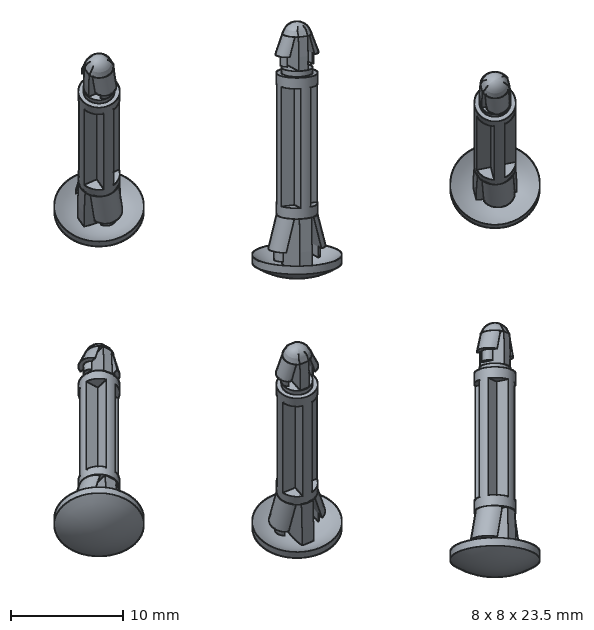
import cadquery as cq
import math

overall_height = 23.45
foot_sag = 1.25
foot_rim_height = 0.75
foot_top = foot_sag + foot_rim_height
lower_barb_bottom = 2.7
spacer_bottom = 5.75
spacer_length = 13.0
spacer_top = spacer_bottom + spacer_length
collar_height = 0.5
collar_top = spacer_top + collar_height
tab_length = 1.0
upper_barb_bottom = 20.55
head_bottom = 22.37
dome_bottom = 22.87

foot_radius = 4.0
foot_center_top = 0.5

spacer_radius = 3.7 / 2
end_ring_height = 1.0
cross_width = 1.0
collar_radius = 2.8 / 2

lower_blade_thickness = 1.2
lower_blade_bottom_half = spacer_radius
lower_blade_top_half = 1.74
upper_blade_thickness = 0.92
upper_blade_bottom_half = 1.32
upper_blade_top_half = 1.245

head_radius = 1.32
dome_base_radius = 1.07
narrow_dome_half = 0.98

lower_barb_low = (1.74, 2.67, 1.42)
lower_barb_high = (0.94, spacer_radius, 1.42)
lower_tab = (1.74, 2.19, 0.76)
upper_barb_low = (1.23, 2.03, 1.07)
upper_barb_high = (0.72, 1.3, 1.07)
upper_tab = (1.23, 1.59, 0.57)


def arc_middle(half_width, height):
    """Point halfway along an arc from (half_width, 0) to the crown (0, height)."""
    radius = (half_width**2 + height**2) / (2 * height)
    half_angle = math.asin(half_width / radius) / 2
    return (radius * math.sin(half_angle), height - radius * (1 - math.cos(half_angle)))


def make_foot():
    """Disc with a domed underside and a deeper hollow on top, joined by a straight rim."""
    under_x, under_y = arc_middle(foot_radius, foot_sag)
    dish_depth = foot_top - foot_center_top
    dish_x, dish_y = arc_middle(foot_radius, dish_depth)
    profile = (
        cq.Workplane("XZ")
        .moveTo(0, 0)
        .threePointArc((under_x, foot_sag - under_y), (foot_radius, foot_sag))
        .lineTo(foot_radius, foot_top)
        .threePointArc((dish_x, foot_top - dish_y), (0, foot_center_top))
        .close()
    )
    return profile.revolve(360, (0, 0, 0), (0, 1, 0))


def make_spacer():
    """Bar with a solid ring at each end, a cross between them and a collar on top."""
    bar = cq.Workplane("XY").workplane(offset=spacer_bottom).circle(spacer_radius).extrude(spacer_length)
    window_size = spacer_radius
    window_pitch = cross_width + window_size
    windows = (
        cq.Workplane("XY")
        .workplane(offset=spacer_bottom + end_ring_height)
        .rect(window_pitch, window_pitch, forConstruction=True)
        .vertices()
        .rect(window_size, window_size)
        .extrude(spacer_length - 2 * end_ring_height)
    )
    collar = (
        cq.Workplane("XY")
        .workplane(offset=spacer_top)
        .circle(collar_radius)
        .extrude(collar_height)
    )
    return bar.cut(windows).union(collar)


def make_blade(thickness, bottom, kink, top, bottom_half, top_half):
    """Web with straight edges up to the kink and edges drawing inwards above it."""
    outline = [
        (-bottom_half, bottom),
        (bottom_half, bottom),
        (bottom_half, kink),
        (top_half, top),
        (-top_half, top),
        (-bottom_half, kink),
    ]
    return cq.Workplane("YZ").polyline(outline).close().extrude(thickness / 2, both=True)


def make_head():
    """Round nose trimmed by a slimmer nose profile that runs along X."""
    dome_height = overall_height - dome_bottom
    round_x, round_y = arc_middle(dome_base_radius, dome_height)
    round_head = (
        cq.Workplane("XZ")
        .moveTo(0, head_bottom)
        .lineTo(head_radius, head_bottom)
        .lineTo(dome_base_radius, dome_bottom)
        .threePointArc((round_x, dome_bottom + round_y), (0, overall_height))
        .close()
        .revolve(360, (0, 0, 0), (0, 1, 0))
    )
    narrow_profile = (
        cq.Workplane("YZ")
        .moveTo(-upper_blade_top_half, head_bottom)
        .lineTo(upper_blade_top_half, head_bottom)
        .lineTo(narrow_dome_half, dome_bottom)
        .threePointArc((0, overall_height), (-narrow_dome_half, dome_bottom))
        .close()
        .extrude(head_radius, both=True)
    )
    return round_head.intersect(narrow_profile)


def draw_segment(plane, section):
    """Circular segment with its chord facing the axis and its arc bulging outwards."""
    inner, outer, half_width = section
    return (
        plane.moveTo(inner, -half_width)
        .threePointArc((outer, 0), (inner, half_width))
        .close()
    )


def make_barb(low, high, bottom, top):
    """Slanted snap arm between a lower and an upper segment."""
    base = draw_segment(cq.Workplane("XY").workplane(offset=bottom), low)
    return draw_segment(base.workplane(offset=top - bottom), high).loft(ruled=True)


def make_tab(section, top):
    """Short tab hanging free below a barb."""
    return draw_segment(cq.Workplane("XY").workplane(offset=top), section).extrude(-tab_length)


def make_post(foot):
    """Spacer, head, blades and snap barbs in one piece, seated in the hollow of the foot."""
    post = make_spacer().union(make_head())
    post = post.union(
        make_blade(
            lower_blade_thickness, foot_center_top, lower_barb_bottom, spacer_bottom,
            lower_blade_bottom_half, lower_blade_top_half,
        )
    )
    post = post.union(
        make_blade(
            upper_blade_thickness, collar_top, upper_barb_bottom, head_bottom,
            upper_blade_bottom_half, upper_blade_top_half,
        )
    )
    snap_parts = [
        make_barb(lower_barb_low, lower_barb_high, lower_barb_bottom, spacer_bottom),
        make_tab(lower_tab, lower_barb_bottom),
        make_barb(upper_barb_low, upper_barb_high, upper_barb_bottom, head_bottom),
        make_tab(upper_tab, upper_barb_bottom),
    ]
    for side_angle in (0, 180):
        for snap_part in snap_parts:
            post = post.union(snap_part.rotate((0, 0, 0), (0, 0, 1), side_angle))
    return post.cut(foot)


foot = make_foot()
post = make_post(foot)

result = cq.Compound.makeCompound([foot.val(), *post.solids().vals()])